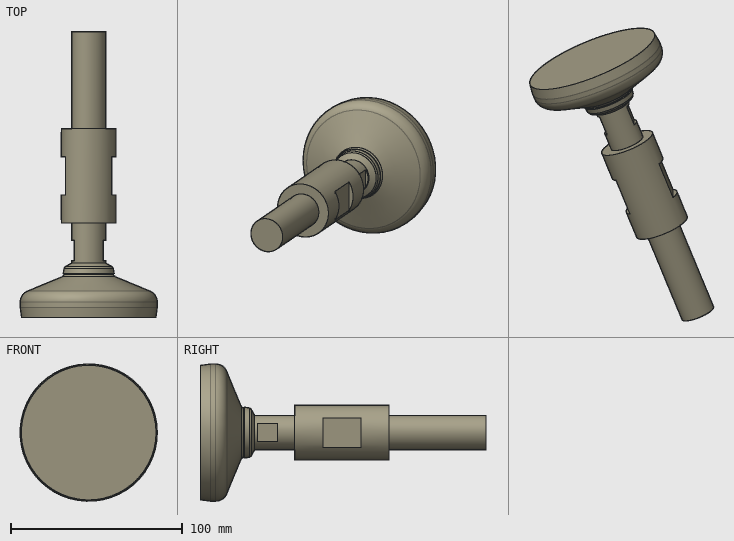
import cadquery as cq
import math


foot_radius = 40.0
floor_radius = 39.2
rim_start = 6.0
rim_end = 9.0
shoulder_radius = 7.0
cone_angle = math.radians(22.5)
cone_top_radius = 15.4
neck_radius = 14.1
neck_top = 25.2

collar_radius = 14.9
collar_edge_radius = 14.4
collar_lip_height = 0.5
collar_edge_top = 28.6
collar_shoulder_radius = 13.7
collar_shoulder_top = 29.7
collar_top = 31.7

rod_radius = 10.0
rod_end = 166.5
rod_flats_width = 17.0
rod_flats_start = 33.2
rod_flats_length = 11.7

sleeve_radius = 16.0
sleeve_start = 55.0
sleeve_length = 55.0
sleeve_flats_width = 27.0
sleeve_flats_length = 22.0
sleeve_flats_start = sleeve_start + (sleeve_length - sleeve_flats_length) / 2


def cut_flats(body, width, start, length):
    """Cut a pair of wrench flats facing -X and +X, `width` apart."""
    cutter_size = 2 * sleeve_radius
    for side in (-1, 1):
        cutter = cq.Workplane("XY").box(cutter_size, length, cutter_size).translate(
            (side * (width + cutter_size) / 2, start + length / 2, 0)
        )
        body = body.cut(cutter)
    return body


def shoulder_point(angle):
    """Point on the shoulder arc, `angle` up from the rim."""
    return (
        foot_radius + shoulder_radius * (math.cos(angle) - 1),
        rim_end + shoulder_radius * math.sin(angle),
    )


def make_foot():
    """Revolved foot plate, neck, collar and rod in one piece, with wrench flats on the rod."""
    shoulder_sweep = math.pi / 2 - cone_angle
    cone_start_radius, cone_start = shoulder_point(shoulder_sweep)
    cone_end = cone_start + (cone_start_radius - cone_top_radius) * math.tan(cone_angle)
    foot = (
        cq.Workplane("XY")
        .lineTo(floor_radius, 0)
        .lineTo(foot_radius, rim_start)
        .lineTo(foot_radius, rim_end)
        .threePointArc(shoulder_point(shoulder_sweep / 2), (cone_start_radius, cone_start))
        .lineTo(cone_top_radius, cone_end)
        .lineTo(neck_radius, neck_top)
        .lineTo(collar_edge_radius, neck_top)
        .lineTo(collar_radius, neck_top + collar_lip_height)
        .lineTo(collar_edge_radius, collar_edge_top)
        .lineTo(collar_shoulder_radius, collar_shoulder_top)
        .lineTo(rod_radius, collar_top)
        .lineTo(rod_radius, rod_end)
        .lineTo(0, rod_end)
        .close()
        .revolve(360, (0, 0), (0, 1))
    )
    return cut_flats(foot, rod_flats_width, rod_flats_start, rod_flats_length)


def make_sleeve():
    """Tubular sleeve around the rod, with a pair of wrench flats at mid-length."""
    sleeve = (
        cq.Workplane("XZ", origin=(0, sleeve_start, 0))
        .circle(sleeve_radius)
        .circle(rod_radius)
        .extrude(-sleeve_length)
    )
    return cut_flats(sleeve, sleeve_flats_width, sleeve_flats_start, sleeve_flats_length)


foot = make_foot()
sleeve = make_sleeve()

result = cq.Compound.makeCompound([foot.val(), sleeve.val()])